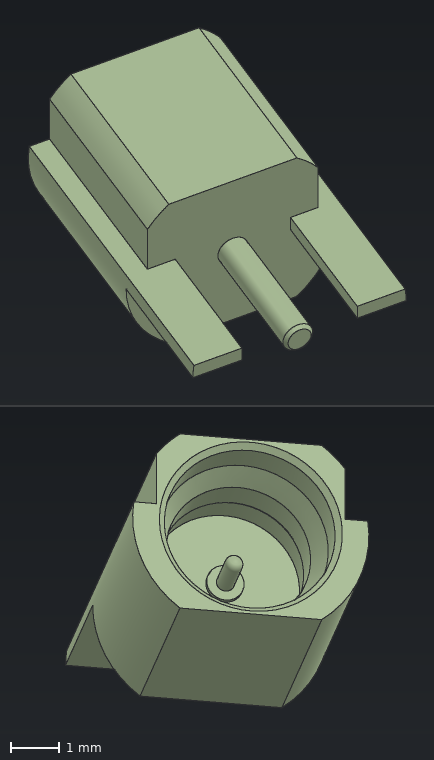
import cadquery as cq
import math


body_length = 4.4
body_radius = 2.5
flat_half_height = 2.0
upper_half_width = 2.0
ledge_z = 0.35

overall_length = 7.4
leg_inner_y = 1.35
leg_bottom_z = 0.0

entry_chamfer = 0.13
entry_diameter = 3.61
entry_depth = 0.88
throat_diameter = 3.05
cone_half_angle = 30
groove_diameter = 3.17
groove_start = 2.13
groove_ramp_length = 0.1
bore_depth = 2.9

shoulder_diameter = 0.79
shoulder_height = 0.1
contact_diameter = 0.38
contact_height = 1.2
tail_diameter = 0.7
tail_chamfer = 0.08


def x_cylinder(diameter, start, end):
    """Round bar on the part axis between two X positions."""
    return cq.Workplane("YZ").workplane(offset=start).circle(diameter / 2).extrude(end - start)


def block_from_face(length, y_min, y_max, z_min, z_max):
    """Block from the mating face back to the given length."""
    block = cq.Workplane("XY").box(length, y_max - y_min, z_max - z_min, centered=False)
    return block.translate((0, y_min, z_min))


def make_body():
    """Round bar with flats above and below, narrowed above the ledges."""
    bar = x_cylinder(2 * body_radius, 0, body_length)
    lower = block_from_face(body_length, -body_radius, body_radius, -flat_half_height, ledge_z)
    upper = block_from_face(body_length, -upper_half_width, upper_half_width, 0, flat_half_height)
    return bar.intersect(lower.union(upper))


def make_legs():
    """Two board legs whose outer sides continue the round of the body."""
    bar = x_cylinder(2 * body_radius, body_length, overall_length)
    left = block_from_face(overall_length, leg_inner_y, body_radius, leg_bottom_z, ledge_z)
    right = left.mirror("XZ")
    return bar.intersect(left.union(right))


def make_bore():
    """Chamfered entry, cone to the throat, ramp out to the wide detent groove, and flat floor."""
    entry_radius = entry_diameter / 2
    throat_radius = throat_diameter / 2
    groove_radius = groove_diameter / 2
    cone_length = (entry_radius - throat_radius) / math.tan(math.radians(cone_half_angle))
    half_section = [
        (0, 0),
        (0, entry_radius + entry_chamfer),
        (entry_chamfer, entry_radius),
        (entry_depth, entry_radius),
        (entry_depth + cone_length, throat_radius),
        (groove_start, throat_radius),
        (groove_start + groove_ramp_length, groove_radius),
        (bore_depth, groove_radius),
        (bore_depth, 0),
    ]
    return cq.Workplane("XY").polyline(half_section).close().revolve(360, (0, 0, 0), (1, 0, 0))


def make_contact():
    """Domed contact pin standing on a low shoulder on the bore floor."""
    shoulder = x_cylinder(shoulder_diameter, bore_depth - shoulder_height, body_length)
    dome_centre = bore_depth - contact_height + contact_diameter / 2
    pin = x_cylinder(contact_diameter, dome_centre, body_length)
    dome = cq.Workplane("XY").sphere(contact_diameter / 2).translate((dome_centre, 0, 0))
    return shoulder.union(pin).union(dome)


def make_tail():
    """Solder tail behind the body, chamfered at its free end."""
    return x_cylinder(tail_diameter, bore_depth, overall_length).faces(">X").chamfer(tail_chamfer)


result = make_body().union(make_legs()).cut(make_bore()).union(make_contact()).union(make_tail())